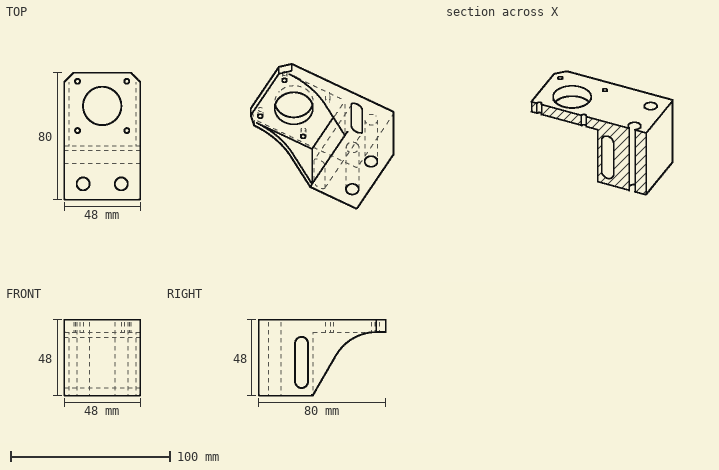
import cadquery as cq
import math

width = 48.0
length = 80.0
height = 48.0
plate_thickness = 8.0
corner_chamfer = 6.0
edge_radius = 1.0

block_depth = 34.0
gusset_thickness = 3.0
gusset_angle = 60.0

motor_centre_y = 59.0
motor_bore_diameter = 24.0
motor_screw_spacing = 31.0
motor_screw_diameter = 3.0

mount_hole_diameter = 8.0
mount_hole_spacing = 24.0
mount_hole_y = 10.0
slot_width = 8.0
slot_length = 32.0
slot_centre_y = 27.0
slot_bottom_z = 5.0

plate_bottom_z = height - plate_thickness
gusset_end_y = length - corner_chamfer
bay_width = width - 2 * gusset_thickness


def make_body():
    """Side profile across the full width, with a sloped and curved rear edge."""
    angle = math.radians(gusset_angle)
    corner_y = block_depth + plate_bottom_z / math.tan(angle)
    tangent_length = gusset_end_y - corner_y
    arc_radius = tangent_length / math.tan(angle / 2)
    arc_centre_z = plate_bottom_z - arc_radius

    def arc_point(turn):
        return (
            gusset_end_y - arc_radius * math.sin(turn),
            arc_centre_z + arc_radius * math.cos(turn),
        )

    return (
        cq.Workplane("YZ")
        .moveTo(0, 0)
        .lineTo(block_depth, 0)
        .lineTo(*arc_point(angle))
        .threePointArc(arc_point(angle / 2), (gusset_end_y, plate_bottom_z))
        .lineTo(length, plate_bottom_z)
        .lineTo(length, height)
        .lineTo(0, height)
        .close()
        .extrude(width / 2, both=True)
    )


def round_edges(body):
    """Round the front uprights, the front bottom edge and the lower side edges."""
    front = body.faces("<Y").edges("not >Z")
    sides = body.faces("<X or >X").edges("not(>Z or >Y or <Y)")
    return body.newObject(front.vals() + sides.vals()).fillet(edge_radius)


def make_plan():
    """Full-height block with the rear corners chamfered, which trims the body."""
    return (
        cq.Workplane("XY")
        .box(width, length, height, centered=(True, False, False))
        .edges("|Z and >Y")
        .chamfer(corner_chamfer)
    )


def make_motor_bay():
    """Open space below the plate, between the gussets and behind the block."""
    return (
        cq.Workplane("XY")
        .box(bay_width, length - block_depth, plate_bottom_z, centered=(True, False, False))
        .translate((0, block_depth, 0))
    )


def make_motor_holes():
    plane = cq.Workplane("XY").center(0, motor_centre_y)
    bore = plane.circle(motor_bore_diameter / 2).extrude(height)
    screws = (
        plane.rect(motor_screw_spacing, motor_screw_spacing, forConstruction=True)
        .vertices()
        .circle(motor_screw_diameter / 2)
        .extrude(height)
    )
    return bore.union(screws)


def make_mount_holes():
    return (
        cq.Workplane("XY")
        .center(0, mount_hole_y)
        .rarray(mount_hole_spacing, 1, 2, 1)
        .circle(mount_hole_diameter / 2)
        .extrude(height)
    )


def make_slot():
    """Upright slot running through the block along X."""
    return (
        cq.Workplane("YZ")
        .center(slot_centre_y, slot_bottom_z + slot_length / 2)
        .slot2D(slot_length, slot_width, 90)
        .extrude(width / 2, both=True)
    )


body = round_edges(make_body()).intersect(make_plan())
result = (
    body.cut(make_motor_bay())
    .cut(make_motor_holes())
    .cut(make_mount_holes())
    .cut(make_slot())
)